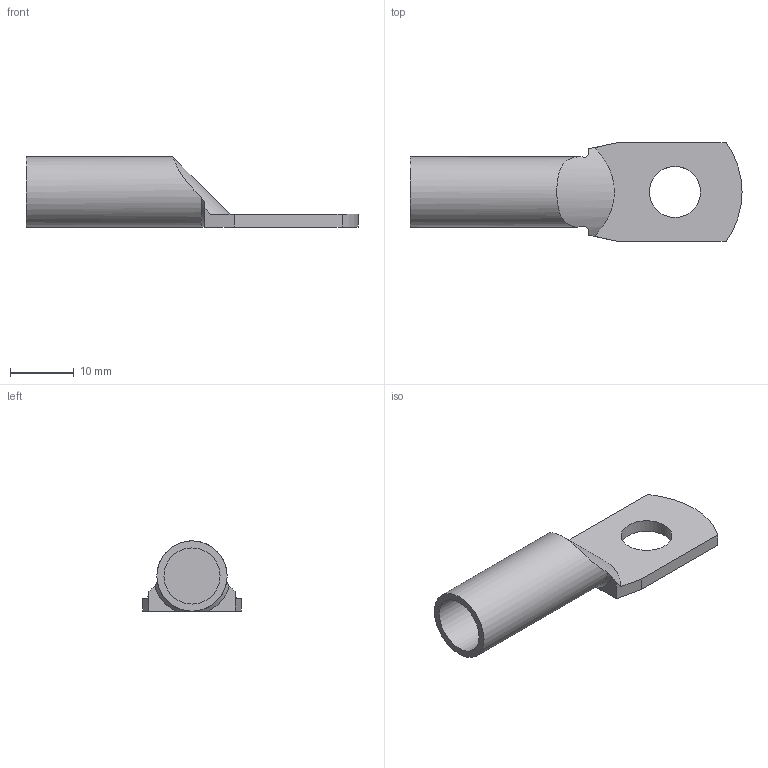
import cadquery as cq

lug_length = 52.0

barrel_diameter = 11.0
barrel_radius = barrel_diameter / 2
bore_diameter = 8.8
bore_depth = 23.0

palm_width = 15.5
palm_thickness = 2.0
palm_start = 28.0
neck_width = 13.5
taper_end = 32.6
end_arc_start = 49.5
hole_diameter = 8.0
hole_x = 41.5

ramp_start = 23.0
ramp_drop = barrel_diameter - palm_thickness
ramp_end = ramp_start + ramp_drop
crown_radius = 12.0

blend_size = 0.55


def full_height_box(length):
    """Box over the whole width and height of the lug, from the barrel's open end."""
    return cq.Workplane("XY").box(
        length, palm_width, barrel_diameter, centered=(False, True, False)
    )


def palm_outline():
    """Palm seen from above: tapered neck, straight sides, rounded end."""
    half_neck = neck_width / 2
    half_palm = palm_width / 2
    return (
        cq.Workplane("XY")
        .moveTo(palm_start, -half_neck)
        .lineTo(taper_end, -half_palm)
        .lineTo(end_arc_start, -half_palm)
        .threePointArc((lug_length, 0), (end_arc_start, half_palm))
        .lineTo(taper_end, half_palm)
        .lineTo(palm_start, half_neck)
        .close()
    )


def make_palm():
    return palm_outline().extrude(palm_thickness)


def make_neck():
    """Tall block at the palm's rear, to be trimmed by the ramp."""
    return palm_outline().extrude(barrel_diameter).intersect(full_height_box(ramp_end))


def make_round_bar(diameter, length):
    """Round bar on the barrel axis, from the open end of the barrel."""
    return (
        cq.Workplane("YZ")
        .center(0, barrel_radius)
        .circle(diameter / 2)
        .extrude(length)
    )


def make_blend():
    """Conical collar around the barrel, cut flush with the underside."""
    collar = (
        cq.Workplane("XZ")
        .moveTo(palm_start - blend_size, 0)
        .lineTo(palm_start - blend_size, barrel_radius)
        .lineTo(palm_start, barrel_radius + blend_size)
        .lineTo(palm_start, 0)
        .close()
        .revolve(360, (0, 0, 0), (1, 0, 0))
        .translate((0, 0, barrel_radius))
    )
    return collar.intersect(full_height_box(lug_length))


def make_crown():
    """Cylinder parallel to the ramp whose upper surface forms the shoulder."""
    ramp_direction = cq.Vector(1, 0, -1).normalized()
    ramp_normal = cq.Vector(1, 0, 1).normalized()
    ramp_top = cq.Vector(ramp_start, 0, barrel_diameter)
    start = ramp_top - ramp_normal * crown_radius - ramp_direction * lug_length
    return cq.Workplane(
        cq.Solid.makeCylinder(crown_radius, 2 * lug_length, start, ramp_direction)
    )


def make_shoulder():
    """Solid transition from the barrel to the palm, trimmed by the ramp."""
    barrel_end = make_round_bar(barrel_diameter, ramp_end)
    return barrel_end.union(make_neck()).union(make_blend()).intersect(make_crown())


def make_bolt_hole():
    return (
        cq.Workplane("XY")
        .center(hole_x, 0)
        .circle(hole_diameter / 2)
        .extrude(palm_thickness)
    )


straight_barrel = make_round_bar(barrel_diameter, ramp_start)
bore = make_round_bar(bore_diameter, bore_depth)

result = (
    straight_barrel
    .union(make_shoulder())
    .union(make_palm())
    .cut(bore)
    .cut(make_bolt_hole())
)